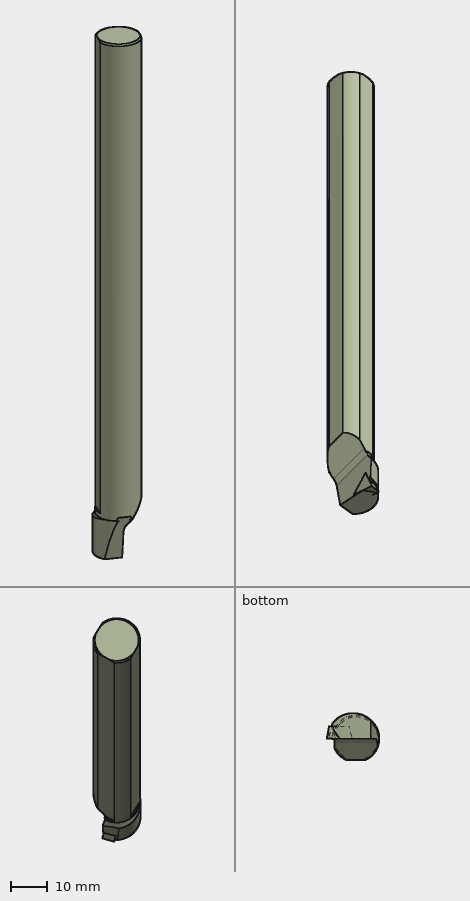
import cadquery as cq
import math

bar_length = 153.6

shank_diameter = 12.8
shank_radius = shank_diameter / 2
flat_distance = 5.8
flat_bottom = 13.8
end_chamfer = 0.5

head_offset = -0.8
head_radius = 6.9
head_bottom = 0.6
flare_slope = 1.5
flare_top = 12.5

slope_top_x = 6.1
slope_top_z = 13.5
slope_bottom_x = 4.0

relief_top_x = -7.8
relief_top_rate = 0.39
relief_bottom_x = -7.2
relief_bottom_rate = 0.2

runout_start = 12.0
runout_angle = 46.0
runout_tilt = 19.0
runout_fillet = 3.0

overall_width = 14.3
tip_x = shank_radius - overall_width
insert_edge = 6.9
insert_thickness = 3.4
bottom_edge_angle = 10.0
side_edge_angle = bottom_edge_angle + 60.0
insert_relief = 7.0
insert_clearance_top = 3.7

margin = 15.4


def make_shank():
    shank = cq.Workplane("XY").workplane(offset=flare_top).circle(shank_radius)
    shank = shank.extrude(bar_length - flare_top)
    flat_height = bar_length - flat_bottom
    for angle in (90, 180, 270):
        flat = cq.Workplane("XY").box(
            margin, 2 * margin, flat_height, centered=(False, True, False)
        )
        flat = flat.translate((flat_distance, 0, flat_bottom))
        shank = shank.cut(flat.rotate((0, 0, 0), (0, 0, 1), angle))
    straight = cq.Workplane("XY").circle(shank_radius).extrude(bar_length)
    return shank.intersect(straight.faces(">Z").chamfer(end_chamfer))


def make_head_blank():
    cylinder = (
        cq.Workplane("XY", origin=(head_offset, 0, head_bottom))
        .circle(head_radius)
        .extrude(flare_top - head_bottom)
    )
    flare_bottom = flare_top - flare_slope * (margin - shank_radius)
    flare = (
        cq.Workplane("XZ")
        .polyline([(0, flare_top), (shank_radius, flare_top), (margin, flare_bottom),
                   (margin, -margin), (0, -margin)])
        .close()
        .revolve(360, (0, 0), (0, 1))
    )
    return cylinder.intersect(flare)


def make_side_slope_cutter():
    """Material beyond the sloping +X side of the head."""
    outline = [
        (slope_bottom_x, head_bottom),
        (slope_top_x, slope_top_z),
        (margin, slope_top_z),
        (margin, head_bottom),
    ]
    return cq.Workplane("XZ").polyline(outline).close().extrude(margin, both=True)


def relief_outline(start_x, rate):
    return [(start_x, 0), (start_x + rate * margin, -margin), (-margin, -margin), (-margin, 0)]


def make_relief_cutter():
    """Twisted relief behind the cutting edge on the -X side."""
    return (
        cq.Workplane("XY", origin=(0, 0, head_bottom))
        .polyline(relief_outline(relief_bottom_x, relief_bottom_rate))
        .close()
        .workplane(offset=flare_top - head_bottom)
        .polyline(relief_outline(relief_top_x, relief_top_rate))
        .close()
        .loft(ruled=True)
    )


def make_rake_cutter():
    """Everything in front of the rake face, with a sloping, filleted run-out."""
    runout_end = runout_start + margin * math.tan(math.radians(runout_angle))
    outline = [(0, -margin), (0, runout_start), (margin, runout_end), (margin, -margin)]
    cutter = cq.Workplane("YZ").polyline(outline).close().extrude(margin, both=True)
    corner = cq.selectors.NearestToPointSelector((0, 0, runout_start))
    cutter = cutter.edges(corner).fillet(runout_fillet)
    return cutter.rotate((0, 0, runout_start), (0, 1, runout_start), runout_tilt)


def along_edge(angle, length):
    """X, Z of a point on the insert edge that leaves the tip at this angle."""
    return (
        tip_x + length * math.cos(math.radians(angle)),
        length * math.sin(math.radians(angle)),
    )


def make_insert():
    corners = [
        (tip_x, 0),
        along_edge(bottom_edge_angle, insert_edge),
        along_edge(side_edge_angle, insert_edge),
    ]
    insert = cq.Workplane("XZ").polyline(corners).close()
    return insert.extrude(insert_thickness, taper=insert_relief)


def make_tip_clearance():
    """Cuts the head back behind the exposed side of the insert."""
    edge_length = insert_clearance_top / math.sin(math.radians(side_edge_angle))
    relief_depth = insert_thickness * math.tan(math.radians(insert_relief))
    inner_x = along_edge(side_edge_angle, edge_length)[0] + relief_depth
    outline = [
        (inner_x, 0),
        (inner_x, insert_clearance_top),
        (-margin, insert_clearance_top),
        (-margin, 0),
    ]
    return cq.Workplane("XZ").polyline(outline).close().extrude(insert_thickness)


def make_bar(insert):
    head = make_head_blank().cut(make_side_slope_cutter()).cut(make_relief_cutter())
    bar = make_shank().union(head)
    bar = bar.cut(make_side_slope_cutter())
    bar = bar.cut(make_rake_cutter())
    return bar.cut(make_tip_clearance()).cut(insert)


insert = make_insert()
bar = make_bar(insert)
result = cq.Compound.makeCompound([bar.val(), insert.val()])